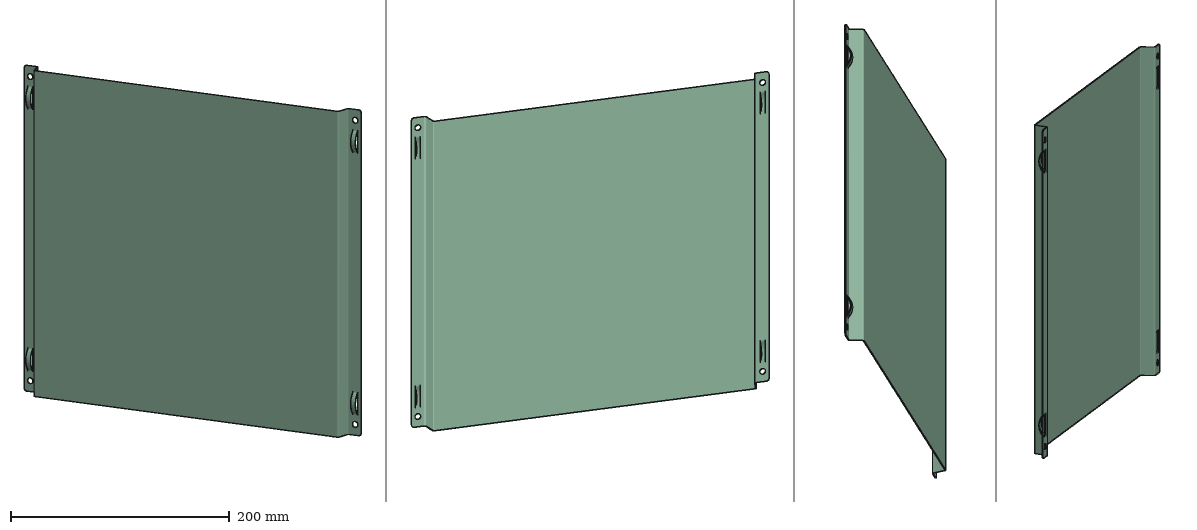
import cadquery as cq
import math

width = 344.0
depth = 14.0
height = 310.0
thickness = 1.0

flange_width = 13.0
bend_angle = 75.0
inside_radius = 1.0
corner_radius = 2.8

feature_inset = 6.2
hole_diameter = 5.5
hole_from_end = 10.3
bridge_gap = 19.5
bridge_width = 4.8
bridge_length = 21.5
bridge_rise = 4.5
bridge_foot = 1.0

back_y = depth / 2
panel_front = -depth / 2
panel_back = panel_front + thickness
flange_front = back_y - thickness


def tray_sheet():
    """Panel with a sloping web and an outward flange along both sides."""
    bend = math.radians(bend_angle)
    corner_shift = thickness * math.tan(bend / 2)
    web_run = (depth - thickness) / math.tan(bend)
    side = width / 2
    flange_front_x = side - flange_width
    flange_back_x = flange_front_x - corner_shift
    panel_front_x = flange_front_x - web_run
    panel_back_x = flange_back_x - web_run

    right_half = [
        (panel_front_x, panel_front),
        (flange_front_x, flange_front),
        (side, flange_front),
        (side, back_y),
        (flange_back_x, back_y),
        (panel_back_x, panel_back),
    ]
    left_half = [(-x, y) for x, y in reversed(right_half)]
    sheet = (
        cq.Workplane("XY")
        .workplane(offset=-height / 2)
        .polyline(right_half + left_half)
        .close()
        .extrude(height)
    )

    inside_bends = [(flange_front_x, flange_front), (panel_back_x, panel_back)]
    outside_bends = [(flange_back_x, back_y), (panel_front_x, panel_front)]
    for bends, radius in (
        (inside_bends, inside_radius),
        (outside_bends, inside_radius + thickness),
    ):
        for x, y in bends:
            for corner_x in (-x, x):
                edge = cq.selectors.NearestToPointSelector((corner_x, y, 0))
                sheet = sheet.edges("|Z").edges(edge).fillet(radius)

    return sheet.edges("|Y and (<X or >X)").edges("<Z or >Z").fillet(corner_radius)


def flange_hole(x, z):
    """Round through hole in a flange."""
    hole = cq.Workplane("XZ", origin=(x, back_y, z)).circle(hole_diameter / 2)
    return hole.extrude(thickness)


def bridge_window(x, z):
    """Piece of flange that the bridge is pushed out of."""
    centre = (x, back_y - thickness / 2, z)
    return cq.Workplane("XY", origin=centre).box(bridge_width, thickness, bridge_length)


def bridge(x, z):
    """Bowed strip joined to the flange at both ends and open at its sides."""
    half_length = bridge_length / 2
    slope = 2 * math.atan(bridge_rise / half_length)
    foot_front_radius = bridge_foot / math.sin(slope)
    foot_back_radius = foot_front_radius + thickness
    foot_centre_y = flange_front - foot_front_radius
    crown_front = flange_front - bridge_rise
    crown_back = crown_front + thickness

    def foot_point(radius, angle, end):
        """Point on a foot arc; angle 0 is where the foot joins the flange."""
        y = foot_centre_y + radius * math.cos(angle)
        return (y, end * (half_length - radius * math.sin(angle)))

    def add_face(outline, foot_radius, crown_y, end):
        """Foot, crown and foot arcs of one face, tangent to each other, from one end to the other."""
        outline = outline.threePointArc(
            foot_point(foot_radius, slope / 2, end), foot_point(foot_radius, slope, end)
        )
        outline = outline.threePointArc((crown_y, 0), foot_point(foot_radius, slope, -end))
        return outline.threePointArc(
            foot_point(foot_radius, slope / 2, -end), foot_point(foot_radius, 0, -end)
        )

    outline = cq.Workplane("YZ", origin=(x, 0, z)).moveTo(flange_front, half_length)
    outline = add_face(outline, foot_front_radius, crown_front, 1)
    outline = outline.lineTo(back_y, -half_length)
    outline = add_face(outline, foot_back_radius, crown_back, -1)
    return outline.close().extrude(bridge_width / 2, both=True)


result = tray_sheet()
for side_sign in (-1, 1):
    for end_sign in (-1, 1):
        feature_x = side_sign * (width / 2 - feature_inset)
        hole_z = end_sign * (height / 2 - hole_from_end)
        bridge_z = end_sign * (height / 2 - bridge_gap - bridge_length / 2)
        result = result.cut(flange_hole(feature_x, hole_z))
        result = result.cut(bridge_window(feature_x, bridge_z))
        result = result.union(bridge(feature_x, bridge_z))